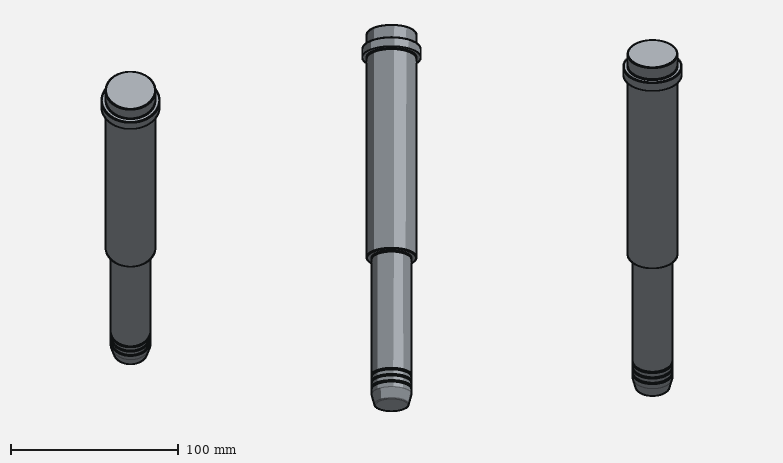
import cadquery as cq

total_length = 240.0
body_diameter = 30.0
flange_diameter = 35.0
shank_diameter = 24.0

flange_top = 231.0
flange_bottom = 225.0
shank_top = 95.0
taper_top = 7.0

flange_chamfer = 0.5
body_end_chamfer = 0.5
head_chamfer = 0.5
tip_diameter = 20.5
tip_fillet = 0.7

relief_width = 1.0
relief_depth = 0.35

groove_count = 3
groove_width = 1.2
groove_depth = 0.35
lowest_groove_center = 10.5
groove_span = 8.0
groove_pitch = groove_span / (groove_count - 1)


def cylinder(diameter, bottom, top):
    return cq.Workplane("XY").workplane(offset=bottom).circle(diameter / 2).extrude(top - bottom)


def make_shank():
    """Guide shank with a tapered lead-in and a rounded tip."""
    tip = (
        cq.Workplane("XY")
        .circle(tip_diameter / 2)
        .workplane(offset=taper_top)
        .circle(shank_diameter / 2)
        .loft(ruled=True)
        .faces("<Z")
        .edges()
        .fillet(tip_fillet)
    )
    return tip.union(cylinder(shank_diameter, taper_top, shank_top))


def make_body():
    """Main cylinder, broken at both end edges."""
    body = cylinder(body_diameter, shank_top, total_length)
    return body.faces("<Z").chamfer(body_end_chamfer).faces(">Z").chamfer(head_chamfer)


def make_flange():
    flange = cylinder(flange_diameter, flange_bottom, flange_top)
    return flange.faces(">Z").chamfer(flange_chamfer)


def groove_cutter(diameter, bottom, width, depth):
    """V-shaped ring that cuts a groove into a cylinder."""
    radius = diameter / 2
    middle = bottom + width / 2
    return (
        cq.Workplane("XZ")
        .moveTo(radius, bottom)
        .lineTo(radius - depth, middle)
        .lineTo(radius, bottom + width)
        .lineTo(radius + depth, middle)
        .close()
        .revolve(360, (0, 0, 0), (0, 1, 0))
    )


result = make_shank().union(make_body()).union(make_flange())

for relief_bottom in (flange_top, flange_bottom - relief_width):
    result = result.cut(groove_cutter(body_diameter, relief_bottom, relief_width, relief_depth))

shank_relief_bottom = shank_top - relief_width
result = result.cut(groove_cutter(shank_diameter, shank_relief_bottom, relief_width, relief_depth))

for index in range(groove_count):
    groove_bottom = lowest_groove_center + index * groove_pitch - groove_width / 2
    result = result.cut(groove_cutter(shank_diameter, groove_bottom, groove_width, groove_depth))